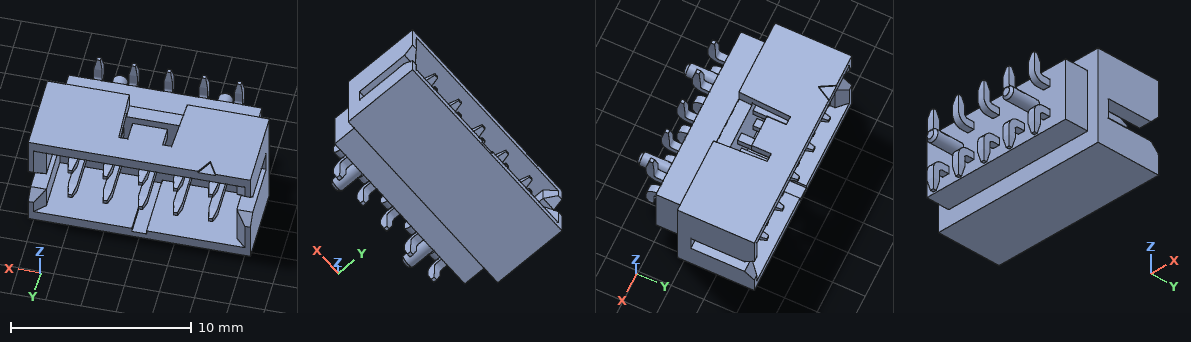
import cadquery as cq
import math


SHROUD_WIDTH = 12.65
SHROUD_DEPTH = 4.72
SHROUD_HEIGHT = 6.3
END_WALL = 0.91
LONG_WALL = 0.66
CAVITY_FLOOR = 0.82
LEAD_IN = 0.6

BASE_WIDTH = 11.0
BASE_DEPTH = 1.71
BASE_HEIGHT = 4.02

END_SLOT_WIDTH = 1.28
END_SLOT_OFFSET = 0.5

WINDOW_DEPTH = 0.91
WINDOW_LENGTH = 3.23
WINDOW_REAR_WIDTH = 3.3
WINDOW_FRONT_WIDTH = 3.01
TONGUE_WIDTH = 1.99
TONGUE_END = 2.04

GROOVE_WIDTH = 0.83
GROOVE_DEPTH = 0.25

MARK_WIDTH = 0.99
MARK_LENGTH = 0.87
MARK_DEPTH = 0.1
MARK_X = -3.85

PIN_COUNT = 5
PITCH = 2.0
PIN_SIZE = 0.49
BEND_INNER_RADIUS = 0.2
PIN_FRONT = 4.44
TAIL_STANDOFF = 1.2
TAIL_BACK = BASE_DEPTH + TAIL_STANDOFF
TAIL_REACH = 2.68
TIP_LENGTH = 0.65
TIP_SIZE = 0.23

PEG_DIAMETER = 0.85
PEG_LENGTH = 2.18
PEG_SPACING = 3 * PITCH
PEG_BEVEL_LENGTH = 0.18
PEG_BEVEL_INSET = 0.15

CAVITY_WIDTH = SHROUD_WIDTH - 2 * END_WALL
CAVITY_HEIGHT = SHROUD_HEIGHT - 2 * LONG_WALL
TOP = SHROUD_HEIGHT / 2


def block(width, height, y_start, y_end, z=0):
    """Box centred on X = 0 and on z that spans y_start to y_end."""
    depth = y_end - y_start
    return cq.Workplane("XY").box(width, depth, height).translate((0, y_start + depth / 2, z))


def mouth_profile(plane, width):
    """XY or YZ slot outline from the cavity floor to the mouth, flared by the lead-in at the mouth."""
    half = width / 2
    flared = half + LEAD_IN
    bevel_start = SHROUD_DEPTH - LEAD_IN
    one_side = [(half, CAVITY_FLOOR), (half, bevel_start), (flared, SHROUD_DEPTH)]
    other_side = [(-across, along) for across, along in reversed(one_side)]
    outline = one_side + other_side
    if plane == "YZ":
        outline = [(along, across) for across, along in outline]
    return cq.Workplane(plane).polyline(outline).close()


def cavity():
    pocket = mouth_profile("XY", CAVITY_WIDTH).extrude(CAVITY_HEIGHT / 2, both=True)
    cavity_bottom = -CAVITY_HEIGHT / 2
    groove = block(GROOVE_WIDTH, 2 * GROOVE_DEPTH, CAVITY_FLOOR, SHROUD_DEPTH, z=cavity_bottom)
    return pocket.union(groove)


def end_slot(side):
    """Slot through the end wall at side * X; the two slots are half-turn copies about Y."""
    slot = mouth_profile("YZ", END_SLOT_WIDTH).extrude(side * SHROUD_WIDTH / 2)
    return slot.translate((0, 0, -side * END_SLOT_OFFSET))


def latch_window():
    rear = WINDOW_REAR_WIDTH / 2
    front = WINDOW_FRONT_WIDTH / 2
    tongue = TONGUE_WIDTH / 2
    outline = [
        (-rear, 0),
        (-front, WINDOW_LENGTH),
        (-tongue, WINDOW_LENGTH),
        (-tongue, TONGUE_END),
        (tongue, TONGUE_END),
        (tongue, WINDOW_LENGTH),
        (front, WINDOW_LENGTH),
        (rear, 0),
    ]
    return cq.Workplane("XY").workplane(offset=TOP).polyline(outline).close().extrude(-WINDOW_DEPTH)


def pin_one_mark():
    outline = [
        (MARK_X - MARK_WIDTH / 2, SHROUD_DEPTH),
        (MARK_X + MARK_WIDTH / 2, SHROUD_DEPTH),
        (MARK_X, SHROUD_DEPTH - MARK_LENGTH),
    ]
    return cq.Workplane("XY").workplane(offset=TOP).polyline(outline).close().extrude(-MARK_DEPTH)


def pin_tip(plane):
    """Square tip narrowing along the plane normal."""
    return (
        cq.Workplane(plane)
        .rect(PIN_SIZE, PIN_SIZE)
        .workplane(offset=TIP_LENGTH)
        .rect(TIP_SIZE, TIP_SIZE)
        .loft()
    )


def upper_pin():
    """Pin of the upper row at X = 0, with its tail bent up."""
    row_z = PITCH / 2
    lower_z = row_z - PIN_SIZE / 2
    upper_z = row_z + PIN_SIZE / 2
    tail_front = -TAIL_BACK + PIN_SIZE
    outer_radius = BEND_INNER_RADIUS + PIN_SIZE
    bend_y = -TAIL_BACK + outer_radius
    bend_z = lower_z + outer_radius
    shank_front = PIN_FRONT - TIP_LENGTH
    shank_top = TAIL_REACH - TIP_LENGTH
    diagonal = math.sqrt(0.5)
    outer_mid = (bend_y - outer_radius * diagonal, bend_z - outer_radius * diagonal)
    inner_mid = (bend_y - BEND_INNER_RADIUS * diagonal, bend_z - BEND_INNER_RADIUS * diagonal)
    shank = (
        cq.Workplane("YZ")
        .moveTo(shank_front, lower_z)
        .lineTo(bend_y, lower_z)
        .threePointArc(outer_mid, (-TAIL_BACK, bend_z))
        .lineTo(-TAIL_BACK, shank_top)
        .lineTo(tail_front, shank_top)
        .lineTo(tail_front, bend_z)
        .threePointArc(inner_mid, (bend_y, upper_z))
        .lineTo(shank_front, upper_z)
        .close()
        .extrude(PIN_SIZE / 2, both=True)
    )
    mating_tip = pin_tip("ZX").translate((0, shank_front, row_z))
    tail_tip = pin_tip("XY").translate((0, tail_front - PIN_SIZE / 2, shank_top))
    return shank.union(mating_tip).union(tail_tip)


def peg(x):
    radius = PEG_DIAMETER / 2
    end = -BASE_DEPTH - PEG_LENGTH
    half_section = [
        (0, -BASE_DEPTH),
        (radius, -BASE_DEPTH),
        (radius, end + PEG_BEVEL_LENGTH),
        (radius - PEG_BEVEL_INSET, end),
        (0, end),
    ]
    turned = cq.Workplane("XY").polyline(half_section).close().revolve(360, (0, 0, 0), (0, 1, 0))
    return turned.translate((x, 0, 0))


result = block(SHROUD_WIDTH, SHROUD_HEIGHT, 0, SHROUD_DEPTH)
result = result.cut(cavity())
for side in (-1, 1):
    result = result.cut(end_slot(side))
result = result.cut(latch_window()).cut(pin_one_mark())
result = result.union(block(BASE_WIDTH, BASE_HEIGHT, -BASE_DEPTH, 0))

top_pin = upper_pin()
bottom_pin = top_pin.mirror("XY")
for index in range(PIN_COUNT):
    pin_x = (index - (PIN_COUNT - 1) / 2) * PITCH
    result = result.union(top_pin.translate((pin_x, 0, 0)))
    result = result.union(bottom_pin.translate((pin_x, 0, 0)))
for side in (-1, 1):
    result = result.union(peg(side * PEG_SPACING / 2))